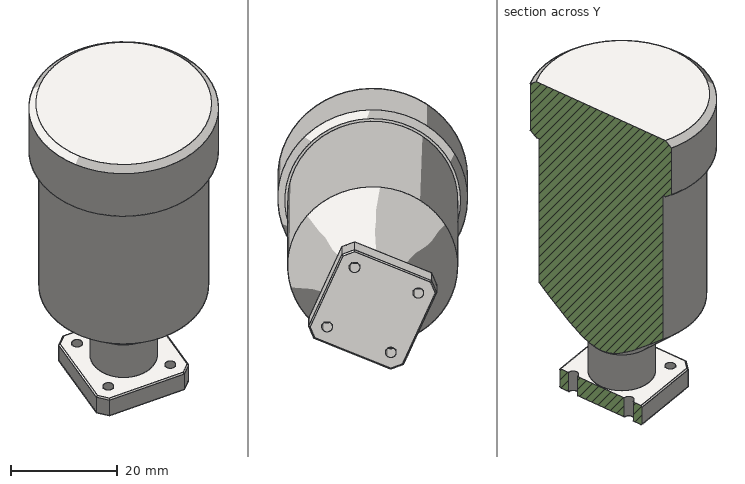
import cadquery as cq

total_height = 69.85
flange_height = 4.6
neck_top = 13.05
cone_top = 22.6
cap_bottom = 56.5

cap_radius = 35.55 / 2
body_radius = 15.9
neck_radius = 6.35
cap_bevel_width = 1.3
cap_bevel_height = 1.1

flange_width = 19.35
corner_cut = 1.8
rim_chamfer = 0.3
hole_diameter = 2.0
hole_spacing = 13.0


def make_flange():
    """Square mounting flange with four through holes."""
    plate = cq.Workplane("XY").rect(flange_width, flange_width).extrude(flange_height)
    plate = plate.edges("|Z").chamfer(corner_cut)
    plate = plate.faces("<Z or >Z").edges().chamfer(rim_chamfer)
    holes = (
        cq.Workplane("XY")
        .rect(hole_spacing, hole_spacing, forConstruction=True)
        .vertices()
        .circle(hole_diameter / 2)
        .extrude(flange_height)
    )
    return plate.cut(holes)


def make_turned_body():
    """Neck, cone, cylindrical body and bevelled cap, revolved about Z."""
    bevel_radius = cap_radius - cap_bevel_width
    profile = [
        (0, flange_height),
        (neck_radius, flange_height),
        (neck_radius, neck_top),
        (body_radius, cone_top),
        (body_radius, cap_bottom),
        (bevel_radius, cap_bottom),
        (cap_radius, cap_bottom + cap_bevel_height),
        (cap_radius, total_height - cap_bevel_height),
        (bevel_radius, total_height),
        (0, total_height),
    ]
    return cq.Workplane("XZ").polyline(profile).close().revolve(360, (0, 0, 0), (0, 1, 0))


result = make_flange().union(make_turned_body())